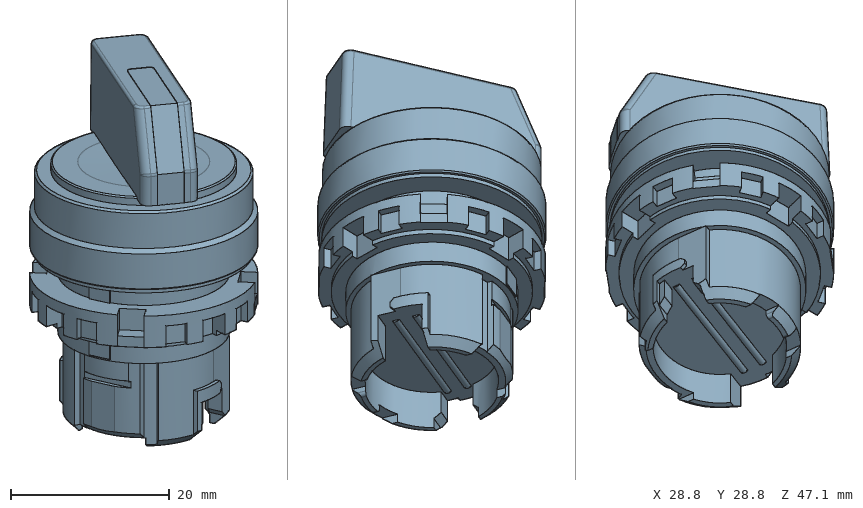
import cadquery as cq
import math

foot_height = 1.2
body_top = 12.0
nut_flange_bottom = 14.95
nut_bottom = 15.6
nut_top = 19.95
collar_bottom = 22.9
collar_top = 23.5
bezel_step_bottom = 28.4
bezel_step_top = 28.95
bezel_top = 33.95
handle_bottom = 34.8
disc_top = 35.1
handle_bend = 39.0
total_height = 47.05

outer_radius = 28.8 / 2
bezel_radius = 27.6 / 2
collar_radius = 27.8 / 2
disc_radius = 23.5 / 2
disc_dish_radius = 8.35
disc_dish_depth = 0.15
neck_radius = 10.85
key_half_width = 1.5
key_reach = 10.95
key_bottom = 12.25
nut_flange_radius = 12.7
body_radius = 10.2
bore_radius = 8.4
bezel_edge = 0.3
small_edge = 0.2

quarter_turns = (0, 90, 180, 270)
notch_angle = 24.0
half_quarter = 45
notch_width = 3.4
notch_floor = 17.05
notch_root_radius = 12.15
notch_sill_radius = 14.2
window_top = 18.5
window_pitch = 21.6
side_window_width = 2.8
side_window_root = 13.35
middle_window_width = 3.55
middle_window_root = 11.75

slot_top = 5.45
slot_half_width = 3.05
narrow_slot_half_width = 2.15
narrow_slot_flare_top = 2.3
narrow_slot_flare_bottom = narrow_slot_flare_top - (slot_half_width - narrow_slot_half_width)
tab_radius = 10.77
tab_top = 7.2
tab_front = -3.75
tab_back = 1.2
tab_bevel = 0.55
flank_back = 4.05
foot_tip_radius = 9.1
channel_radius = 9.4
channel_start = -28.4
channel_end = 41.0
pad_left = -3.05
pad_right = 4.8
pad_bevel_top = 2.1
pad_flat_y = -10.05
groove_bottom = 8.35
groove_top = 9.17
groove_right = 3.75
groove_floor_y = -9.45
label_right = 3.5
label_radius = 10.0
side_foot_start = 5.0
back_foot_half_width = 2.2
back_foot_corner = 0.45
rib_radius = 0.6
rib_spacing = 2.75
rib_drop = 0.25

handle_turn = -45
handle_half_width = 3.7
handle_tail_bottom = -13.65
handle_tail_top = -13.2
handle_nose_top = 10.3
handle_nose = 13.75
handle_corner = 1.15
handle_edge = 0.38
handle_bend_radius = 0.95
marker_half_width = 1.75
marker_start = -2.05
marker_corner = 0.55
marker_rise = 0.07


def block(x0, x1, y0, y1, z0, z1):
    """Box given by its limits on each axis."""
    return cq.Workplane("XY").box(x1 - x0, y1 - y0, z1 - z0, centered=False).translate((x0, y0, z0))


def cylinder(radius, z0, z1):
    """Upright cylinder on the Z axis."""
    return cq.Workplane("XY").workplane(offset=z0).circle(radius).extrude(z1 - z0)


def front_point(radius, angle):
    """Point at an angle in degrees, measured from -Y toward +X."""
    turn = math.radians(angle)
    return (radius * math.sin(turn), -radius * math.cos(turn))


def rim_cut(angle, width, root_radius, z0, z1):
    """Straight-sided block reaching from root_radius out past the rim of the nut."""
    cutter = block(-width / 2, width / 2, -2 * outer_radius, -root_radius, z0, z1)
    return cutter.rotate((0, 0, 0), (0, 0, 1), angle)


def make_head():
    """Bezel, collar, keyed neck and the slightly dished disc under the handle."""
    profile = [
        (0, body_top),
        (neck_radius, body_top),
        (neck_radius, collar_bottom),
        (collar_radius, collar_bottom),
        (collar_radius, collar_top),
        (outer_radius - small_edge, collar_top),
        (outer_radius, collar_top + small_edge),
        (outer_radius, bezel_step_bottom),
        (bezel_radius, bezel_step_top),
        (bezel_radius, bezel_top - bezel_edge),
        (bezel_radius - bezel_edge, bezel_top),
        (disc_radius, bezel_top),
        (disc_radius, disc_top - small_edge),
        (disc_radius - small_edge, disc_top),
        (disc_dish_radius, disc_top),
        (0, disc_top - disc_dish_depth),
    ]
    head = cq.Workplane("XZ").polyline(profile).close().revolve(360, (0, 0, 0), (0, 1, 0))
    return head.union(block(-key_half_width, key_half_width, -key_reach, 0, key_bottom, collar_bottom))


def make_nut():
    """Castellated ring nut, the same in every quarter turn."""
    nut = cylinder(outer_radius, nut_bottom, nut_top)
    nut = nut.union(cylinder(nut_flange_radius, nut_flange_bottom, nut_bottom))
    for quarter in quarter_turns:
        middle = quarter + notch_angle - half_quarter
        nut = nut.cut(rim_cut(quarter + notch_angle, notch_width, notch_root_radius, notch_floor, nut_top))
        nut = nut.cut(
            rim_cut(quarter + notch_angle, notch_width, notch_sill_radius, nut_flange_bottom, notch_floor)
        )
        nut = nut.cut(rim_cut(middle, middle_window_width, middle_window_root, nut_flange_bottom, window_top))
        for offset in (-window_pitch, window_pitch):
            nut = nut.cut(
                rim_cut(middle + offset, side_window_width, side_window_root, nut_bottom, window_top)
            )
    return nut


def make_flanks():
    """Flat-faced block behind each side slot, and the hooked tab around its front and top."""
    flank = block(-body_radius, 0, 0, flank_back, 0, body_top)
    tab = block(-tab_radius, 0, tab_front, tab_back, slot_top, tab_top)
    tab = tab.edges("|X and >Y").chamfer(tab_bevel)
    leg = block(-tab_radius, 0, tab_front, -slot_half_width, 0, slot_top)
    hook = tab.union(leg).intersect(cylinder(tab_radius, 0, tab_top))
    left = flank.union(hook)
    return left.union(left.mirror("YZ"))


def make_channels():
    """Sunken arc of the front wall, leaving the raised pad standing in it."""
    mid_angle = (channel_start + channel_end) / 2
    reach = 2 * body_radius
    sector = (
        cq.Workplane("XY")
        .polyline([
            (0, 0),
            front_point(reach, channel_start),
            front_point(reach, mid_angle),
            front_point(reach, channel_end),
        ])
        .close()
        .extrude(body_top)
    )
    pad = block(pad_left, pad_right, -reach, 0, 0, body_top)
    return sector.cut(cylinder(channel_radius, 0, body_top)).cut(pad)


def make_pad_cuts():
    """Lower bevel, narrow flat, cross groove and shallow label recess of the front pad."""
    bevel_size = pad_bevel_top - foot_height
    bevel_core = cylinder(body_radius, foot_height, body_top).faces("<Z").chamfer(bevel_size)
    bevel = block(pad_left, pad_right, -body_radius, 0, foot_height, pad_bevel_top).cut(bevel_core)
    flat = block(pad_left, pad_right, -body_radius, pad_flat_y, foot_height, groove_bottom)
    groove = block(pad_left, groove_right, -body_radius, groove_floor_y, groove_bottom, groove_top)
    label = block(pad_left, label_right, -body_radius, 0, groove_top, body_top)
    label = label.cut(cylinder(label_radius, groove_top, body_top))
    return bevel.union(flat).union(groove).union(label)


def make_foot_gaps():
    """Spaces between the feet: what is left are four side feet and one back foot."""
    gaps = block(-side_foot_start, side_foot_start, -tab_radius, tab_radius, 0, foot_height)
    back_foot = block(-back_foot_half_width, back_foot_half_width, 0, tab_radius, 0, foot_height)
    return gaps.cut(back_foot.edges("|Y and <Z").fillet(back_foot_corner))


def make_side_slots():
    """Wide slot on the -X side and a narrower, flared slot on the +X side."""
    wide = block(-tab_radius, 0, -slot_half_width, slot_half_width, 0, slot_top)
    narrow = (
        cq.Workplane("YZ")
        .polyline([
            (-slot_half_width, 0),
            (slot_half_width, 0),
            (slot_half_width, narrow_slot_flare_bottom),
            (narrow_slot_half_width, narrow_slot_flare_top),
            (narrow_slot_half_width, slot_top),
            (-narrow_slot_half_width, slot_top),
            (-narrow_slot_half_width, narrow_slot_flare_top),
            (-slot_half_width, narrow_slot_flare_bottom),
        ])
        .close()
        .extrude(tab_radius)
    )
    return wide.union(narrow)


def make_ribs():
    """Two low round ribs under the ceiling of the bore."""
    return (
        cq.Workplane("YZ")
        .pushPoints([(side * rib_spacing / 2, slot_top - rib_drop + rib_radius) for side in (-1, 1)])
        .circle(rib_radius)
        .extrude(bore_radius, both=True)
    )


def make_body():
    """Hollow plug body below the neck."""
    body = cylinder(body_radius, 0, body_top).cut(make_channels()).cut(make_pad_cuts())
    body = body.union(make_flanks())
    full_radius = math.hypot(body_radius, flank_back)
    envelope = cylinder(full_radius, 0, body_top).faces("<Z").chamfer(full_radius - foot_tip_radius)
    body = body.intersect(envelope)
    body = body.cut(cylinder(bore_radius, 0, slot_top)).cut(make_side_slots()).cut(make_foot_gaps())
    return body.union(make_ribs())


def handle_outline():
    """Side outline of the bar handle, lowered by the height of the marker strip."""
    bar_top = total_height - marker_rise
    return cq.Workplane("XZ").polyline([
        (handle_tail_bottom, handle_bottom),
        (handle_tail_top, bar_top),
        (handle_nose_top, bar_top),
        (handle_nose, handle_bend),
        (handle_nose, handle_bottom),
    ]).close()


def make_handle():
    """Bar handle with a sloping nose and a slightly raised marker strip along its top and nose."""
    bar = handle_outline().extrude(handle_half_width, both=True)
    bend = cq.selectors.NearestToPointSelector((handle_nose, 0, handle_bend))
    bar = bar.edges(bend).fillet(handle_bend_radius)
    bar = bar.faces("<Y or >Y").edges("not #Z").fillet(handle_corner)
    bar = bar.faces(">Z").edges().fillet(handle_edge)

    strip = handle_outline().offset2D(marker_rise, "intersection").extrude(marker_half_width, both=True)
    nose_face = handle_nose + marker_rise
    limits = block(
        marker_start, nose_face, -marker_half_width, marker_half_width, handle_bottom, total_height
    )
    strip = strip.intersect(limits.edges("|Z and <X").fillet(marker_corner))
    return bar.union(strip).rotate((0, 0, 0), (0, 0, 1), handle_turn)


result = make_body().union(make_head()).union(make_nut()).union(make_handle())